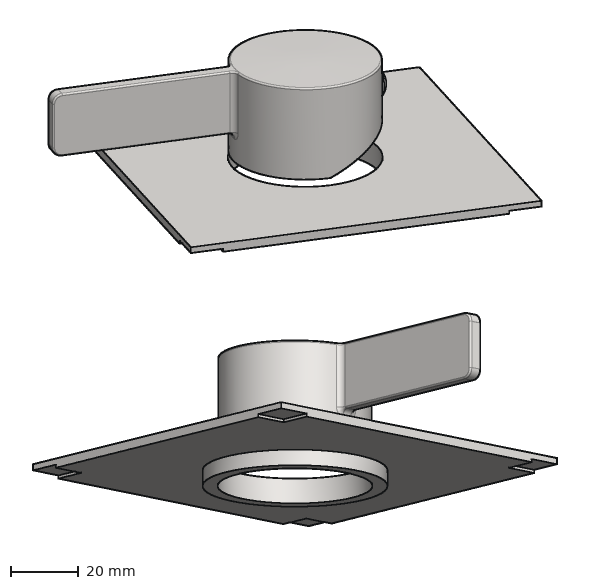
import cadquery as cq

plate_side = 110.0
corner_notch = 10.1
sleeve_radius = 27.4
hole_radius = 23.0
sleeve_height = 4.7
lower_layer = 1.0
upper_layer = 1.9
plate_top = sleeve_height + lower_layer + upper_layer

overall_length = 135.0
overall_height = 39.5
knob_radius = 22.8
knob_gap = 2.2
crown_rise = 0.4
slope_rise = 10.1
edge_fillet = 0.5
knob_bottom = plate_top + knob_gap
knob_rim = overall_height - crown_rise

lever_width = 4.3
lever_height = 20.0
lever_corner_radius = 3.0
lever_root_fillet = 2.0
zone_margin = 1.4
lever_length = overall_length - plate_side / 2
lever_split = 1.5 * knob_radius
lever_bottom = knob_rim - lever_height

button_radius = 4.2
button_rise = 1.8
button_base = 23.4
button_depth = 2.0
button_height = 28.5


def make_plate():
    """Square plate, notched under its corners, on a sleeve with a hole through both."""
    sleeve = cq.Workplane("XY").circle(sleeve_radius).extrude(sleeve_height)
    inner_side = plate_side - 2 * corner_notch
    lower_start = cq.Workplane("XY", origin=(0, 0, sleeve_height))
    lower = (
        lower_start.rect(plate_side, inner_side)
        .extrude(lower_layer)
        .union(lower_start.rect(inner_side, plate_side).extrude(lower_layer))
    )
    upper = (
        cq.Workplane("XY", origin=(0, 0, sleeve_height + lower_layer))
        .rect(plate_side, plate_side)
        .extrude(upper_layer)
    )
    hole = cq.Workplane("XY").circle(hole_radius).extrude(plate_top)
    return sleeve.union(lower).union(upper).cut(hole)


def make_barrel():
    """Plain cylinder of the knob, up to its rim."""
    return (
        cq.Workplane("XY", origin=(0, 0, knob_bottom))
        .circle(knob_radius)
        .extrude(knob_rim - knob_bottom)
    )


def make_lever_root():
    """Straight start of the lever, rounded only along its lower edges."""
    return (
        cq.Workplane("XY", origin=(0, -lever_split / 2, lever_bottom))
        .rect(lever_width, lever_split)
        .extrude(lever_height)
        .edges("|Y and <Z")
        .fillet(edge_fillet)
    )


def make_lever_blade():
    """Rest of the lever, out to a tip with rounded corners and edges."""
    blade_length = lever_length - lever_split
    return (
        cq.Workplane("XY", origin=(0, -lever_split - blade_length / 2, lever_bottom))
        .rect(lever_width, blade_length)
        .extrude(lever_height)
        .edges("|X and <Y")
        .fillet(lever_corner_radius)
        .edges("|Y")
        .fillet(edge_fillet)
    )


def make_crown():
    """Very shallow cone that closes the top of the knob."""
    crown_radius = knob_radius - edge_fillet
    return cq.Workplane(
        obj=cq.Solid.makeCone(crown_radius, 0, crown_rise, pnt=cq.Vector(0, 0, knob_rim))
    )


def make_back_slope():
    """Wedge removed from under the back half of the knob."""
    return (
        cq.Workplane("YZ")
        .polyline([
            (0, knob_bottom),
            (knob_radius, knob_bottom + slope_rise),
            (knob_radius, knob_bottom),
        ])
        .close()
        .extrude(knob_radius, both=True)
    )


def make_button():
    """Domed button on a short stem, pointing to +Y."""
    dome_radius = (button_radius**2 + button_rise**2) / (2 * button_rise)
    stem = (
        cq.Workplane("XZ", origin=(0, button_base, button_height))
        .circle(button_radius)
        .extrude(button_depth)
    )
    ball = cq.Workplane("XY").sphere(dome_radius).translate(
        (0, button_base + button_rise - dome_radius, button_height)
    )
    cap_space = (
        cq.Workplane("XZ", origin=(0, button_base, button_height))
        .circle(button_radius)
        .extrude(-button_rise)
    )
    return stem.union(ball.intersect(cap_space))


def make_knob():
    """Knob with its lever, crown, back slope and button as one solid."""
    knob = make_barrel().union(make_lever_root())

    root_zone = cq.selectors.BoxSelector(
        (-lever_width, -knob_radius - zone_margin, lever_bottom - zone_margin),
        (lever_width, -knob_radius + zone_margin, knob_rim - zone_margin),
    )
    knob = knob.edges(root_zone).fillet(lever_root_fillet)
    knob = knob.faces(">Z").edges("not <Y").fillet(edge_fillet)
    knob = knob.union(make_lever_blade())
    return knob.cut(make_back_slope()).union(make_crown()).union(make_button()).clean()


plate = make_plate()
knob = make_knob()

result = cq.Compound.makeCompound([plate.val(), knob.val()])